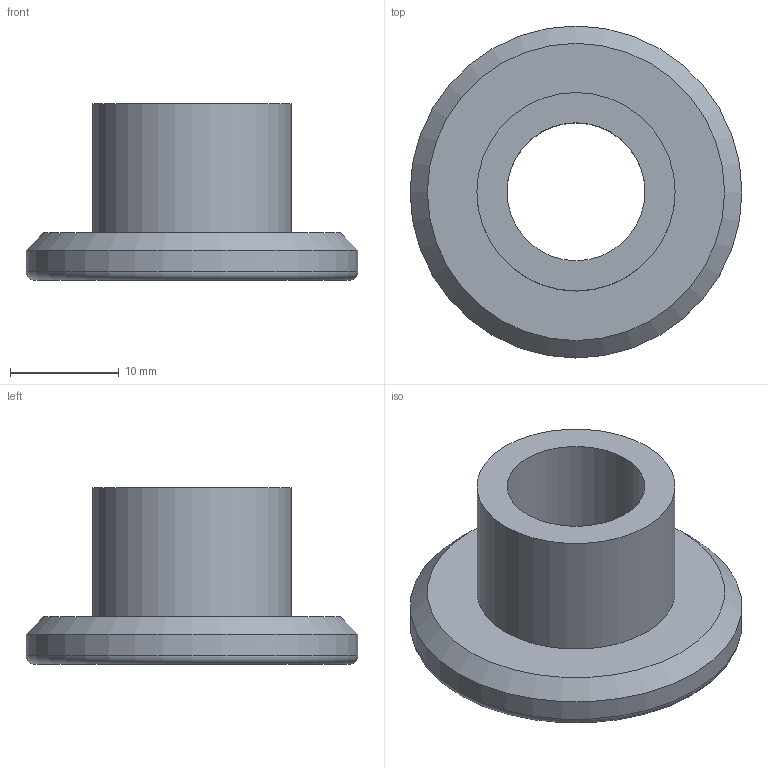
import cadquery as cq

total_height = 16.27
flange_diameter = 30.56
flange_thickness = 4.37
barrel_diameter = 18.26
bore_diameter = 12.7

top_chamfer = 1.6
bottom_fillet = 0.8


def make_flange():
    """Round flange standing on Z = 0, chamfered above and rounded below."""
    flange = cq.Workplane("XY").circle(flange_diameter / 2).extrude(flange_thickness)
    flange = flange.faces(">Z").edges().chamfer(top_chamfer)
    return flange.faces("<Z").edges().fillet(bottom_fillet)


def make_barrel():
    """Plain cylinder running the full height of the bushing."""
    return cq.Workplane("XY").circle(barrel_diameter / 2).extrude(total_height)


def make_bore():
    """Cutter for the hole through the whole bushing."""
    return cq.Workplane("XY").circle(bore_diameter / 2).extrude(total_height)


result = make_flange().union(make_barrel()).cut(make_bore())